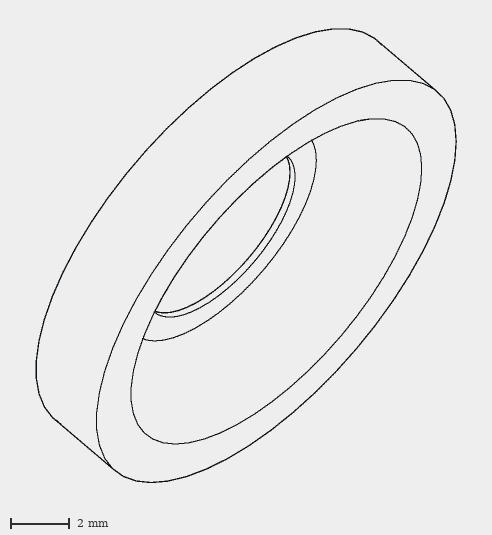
import cadquery as cq

outer_diameter = 17.0
thickness = 3.0
bore_diameter = 7.0
lip_thickness = 0.25
recess_floor_diameter = 9.01
recess_mouth_diameter = 13.74

recess_depth = thickness - lip_thickness

ring = (
    cq.Workplane("YZ")
    .circle(outer_diameter / 2)
    .circle(bore_diameter / 2)
    .extrude(thickness)
)

recess = (
    cq.Workplane("YZ")
    .workplane(offset=lip_thickness)
    .circle(recess_floor_diameter / 2)
    .workplane(offset=recess_depth)
    .circle(recess_mouth_diameter / 2)
    .loft(ruled=True)
)

result = ring.cut(recess)